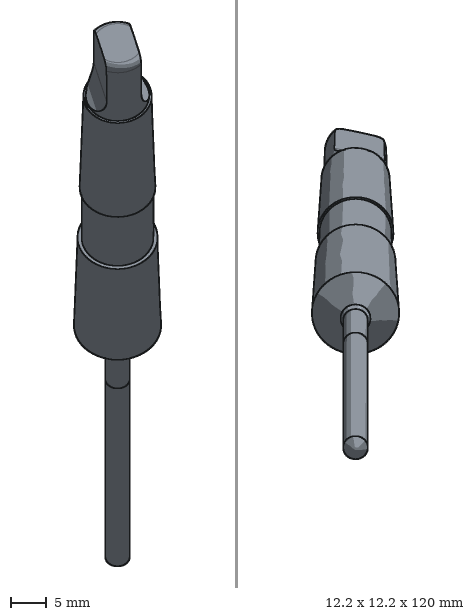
import cadquery as cq
import math

total_height = 120
drill_zone_top = 13.9
joint_height = 42.1
stem_top = 51.5
nose_bottom = 52.3
taper_bottom = 54.5
neck_bottom = 74.8
neck_top = 86.4
tang_bottom = 107.4
runout_top = 111.4
tang_round_start = 118.5
tang_round_end = 119.6

drill_radius = 3.5 / 2
nose_tip_radius = 2.1
taper_large_radius = 12.2 / 2
neck_radius = 10.1 / 2
tang_bottom_radius = 4.5
tang_round_radius = 4.3
tang_top_radius = 3.42
taper_slope = 1 / 40

drill_point_angle = 118
flat_distance = 2.5
flat_direction = 227.5
runout_radius = 4.8


def taper_radius(height):
    """Radius of the holder's single taper at a given height."""
    return taper_large_radius - taper_slope * (height - taper_bottom)


def revolve_about_axis(profile):
    return profile.close().revolve(360, (0, 0, 0), (0, 1, 0))


def make_drill():
    """Pointed rod whose top end butts against the holder's stem."""
    point_height = drill_radius / math.tan(math.radians(drill_point_angle / 2))
    profile = (
        cq.Workplane("XZ")
        .lineTo(drill_radius, point_height)
        .lineTo(drill_radius, drill_zone_top)
        .lineTo(drill_radius, joint_height)
        .lineTo(0, joint_height)
    )
    return revolve_about_axis(profile)


def make_holder_blank():
    """Turned holder: stem as thick as the drill, conical nose, interrupted taper, tang with rounded end."""
    profile = (
        cq.Workplane("XZ")
        .moveTo(0, joint_height)
        .lineTo(drill_radius, joint_height)
        .lineTo(drill_radius, stem_top)
        .lineTo(nose_tip_radius, nose_bottom)
        .lineTo(taper_large_radius, taper_bottom)
        .lineTo(taper_radius(neck_bottom), neck_bottom)
        .lineTo(neck_radius, neck_bottom)
        .lineTo(neck_radius, neck_top)
        .lineTo(taper_radius(neck_top), neck_top)
        .lineTo(taper_radius(tang_bottom), tang_bottom)
        .lineTo(tang_bottom_radius, tang_bottom)
        .lineTo(tang_round_radius, tang_round_start)
        .tangentArcPoint((tang_top_radius, tang_round_end), relative=False)
        .lineTo(0, total_height)
    )
    return revolve_about_axis(profile)


def make_flat_cutter(direction):
    """Prism that cuts one tang flat, with a concave run-out at its lower end."""
    outer = flat_distance + runout_radius
    profile = (
        cq.Workplane("XZ")
        .moveTo(flat_distance, total_height)
        .lineTo(flat_distance, runout_top)
        .tangentArcPoint((outer, runout_top - runout_radius), relative=False)
        .lineTo(outer, total_height)
        .close()
    )
    cutter = profile.extrude(taper_large_radius, both=True)
    return cutter.rotate((0, 0, 0), (0, 0, 1), direction)


def make_holder():
    holder = make_holder_blank()
    for half_turn in (0, 180):
        holder = holder.cut(make_flat_cutter(flat_direction + half_turn))
    return holder


drill = make_drill()
holder = make_holder()

result = cq.Compound.makeCompound([holder.val(), drill.val()])